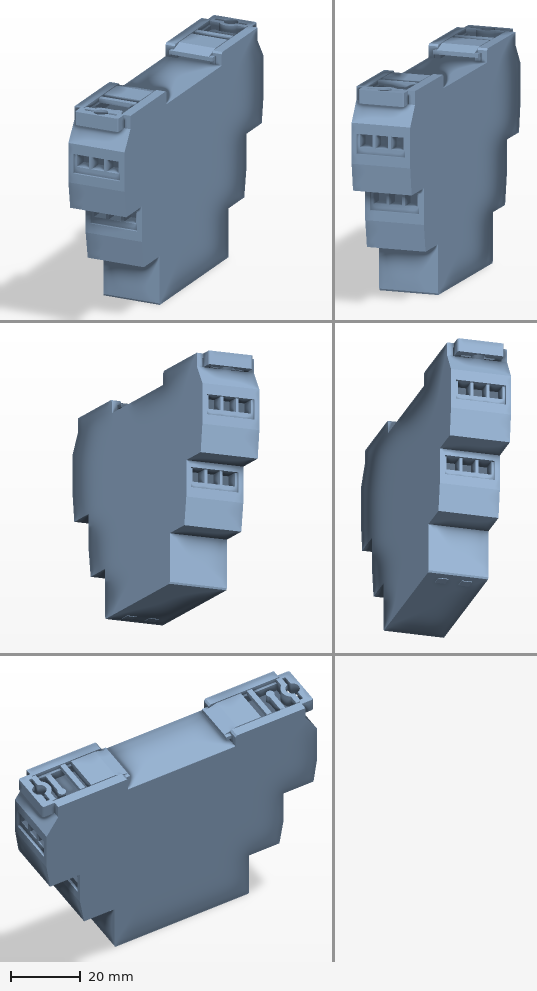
import cadquery as cq

width = 18.0
length = 90.0
height = 64.1
half_length = length / 2

deck_depth = 4.05
rail_inner_end = 17.8
rail_outer_end = 41.1
rail_chamfer = 0.5

shoulder_depth = 9.9
upper_taper_depth = 22.0
upper_tier_depth = 30.15
upper_foot_half = 43.8
lower_half = 33.8
lower_taper_depth = 40.95
lower_tier_depth = 49.1
lower_foot_half = 32.5
base_half = 22.4
base_bevel_height = 0.5
base_bevel_inset = 0.3

window_width = 14.9
window_height = 5.9
window_recess = 0.8
upper_window_depth = 13.05
lower_window_depth = 32.0
terminal_width = 3.9
terminal_height = 4.05
terminal_pitch = 4.8
terminal_count = 3
terminal_depth = 4.5

channel_width = 12.15
undercut_width = 14.5
lip_depth = 1.35

cover_width = 11.5
plate_width = 13.9
plate_bottom_depth = 2.5
tip_depth = 1.3
flap_end = 16.0
flap_slope_start = 20.25
flap_outer_end = 28.3
bar_inner = 30.2
bar_outer = 31.9
opening_width = 10.6
opening_outer_end = 40.0
head_chamfer = 0.4

hole_centre = 42.1
hole_radius = 2.1
boss_radius = 3.5
slit_length = 10.3
slit_width = 1.1

tongue_centre = 36.2
tongue_width = 1.6
tongue_tip_x = -2.6
tongue_tip_radius = 1.3

pad_width = 3.1
pad_length = 3.3
pad_height = 0.2
pad_spacing = 7.0
pad_centre_y = 17.55


def block(size_x, y_start, y_end, top_depth, bottom_depth):
    """Box centred on X = 0, with its top and bottom given as depths below the top of the housing."""
    return (
        cq.Workplane("XY")
        .box(size_x, y_end - y_start, bottom_depth - top_depth, centered=(True, False, False))
        .translate((0, y_start, height - bottom_depth))
    )


def post(x, y, radius, top_depth):
    """Round post standing on the deck, with its top given as a depth below the top of the housing."""
    cylinder = cq.Workplane("XY").circle(radius).extrude(deck_depth - top_depth)
    return cylinder.translate((x, y, height - deck_depth))


def make_housing():
    half_outline = [
        (rail_inner_end, deck_depth),
        (rail_inner_end, rail_chamfer),
        (rail_inner_end + rail_chamfer, 0),
        (rail_outer_end, 0),
        (rail_outer_end, deck_depth),
        (half_length, shoulder_depth),
        (half_length, upper_taper_depth),
        (upper_foot_half, upper_tier_depth),
        (lower_half, upper_tier_depth),
        (lower_half, lower_taper_depth),
        (lower_foot_half, lower_tier_depth),
        (base_half, lower_tier_depth),
        (base_half, height - base_bevel_height),
        (base_half - base_bevel_inset, height),
    ]
    positive_side = [(y, height - depth) for y, depth in half_outline]
    negative_side = [(-y, z) for y, z in reversed(positive_side)]
    outline = cq.Workplane("YZ").polyline(positive_side + negative_side).close()
    return outline.extrude(width / 2, both=True)


def make_channel():
    throat = block(channel_width, rail_inner_end, rail_outer_end, 0, deck_depth)
    undercut = block(undercut_width, rail_inner_end, rail_outer_end, lip_depth, deck_depth)
    return throat.union(undercut)


def make_terminal_window(face_y, top_depth):
    """Shallow recess in an end face with a row of deeper terminal openings at its top."""
    recess_floor = face_y - window_recess
    cutter = block(window_width, recess_floor, face_y, top_depth, top_depth + window_height)
    opening = block(
        terminal_width, recess_floor - terminal_depth, face_y, top_depth, top_depth + terminal_height
    )
    for index in range(terminal_count):
        x = (index - (terminal_count - 1) / 2) * terminal_pitch
        cutter = cutter.union(opening.translate((x, 0, 0)))
    return cutter


def make_flap():
    """Flat panel that slopes down to a thin tip over the deck."""
    profile = [
        (flap_end, plate_bottom_depth),
        (flap_end, tip_depth),
        (flap_slope_start, 0),
        (flap_outer_end, 0),
        (flap_outer_end, plate_bottom_depth),
    ]
    points = [(y, height - depth) for y, depth in profile]
    panel = cq.Workplane("YZ").polyline(points).close().extrude(cover_width / 2, both=True)
    plate = block(plate_width, flap_end, flap_outer_end, lip_depth, plate_bottom_depth)
    return panel.union(plate)


def make_label_holder():
    frame = block(plate_width, rail_inner_end, rail_outer_end, lip_depth, deck_depth)
    frame = frame.cut(block(opening_width, rail_inner_end, opening_outer_end, lip_depth, deck_depth))

    cross_bar = block(cover_width, bar_inner, bar_outer, 0, lip_depth)
    neck = block(cover_width, opening_outer_end, rail_outer_end, 0, deck_depth)
    head = block(plate_width, rail_outer_end, half_length, 0, deck_depth)
    head = head.edges("|Z and >Y").chamfer(head_chamfer)
    boss = post(0, hole_centre, boss_radius, 0).intersect(
        block(cover_width, bar_outer, half_length, 0, deck_depth)
    )

    tongue_length = opening_width / 2 - tongue_tip_x
    tongue = block(
        tongue_length,
        tongue_centre - tongue_width / 2,
        tongue_centre + tongue_width / 2,
        lip_depth,
        deck_depth,
    ).translate((tongue_tip_x + tongue_length / 2, 0, 0))
    tip = post(tongue_tip_x, tongue_centre, tongue_tip_radius, lip_depth)

    holder = make_flap()
    for piece in (frame, cross_bar, neck, head, boss, tongue, tip):
        holder = holder.union(piece)

    slit = block(slit_length, hole_centre - slit_width / 2, hole_centre + slit_width / 2, 0, deck_depth)
    return holder.cut(post(0, hole_centre, hole_radius, 0)).cut(slit)


def make_pad(x):
    pad = cq.Workplane("XY").box(pad_width, pad_length, 2 * pad_height)
    return pad.translate((x, pad_centre_y, 0))


def at_both_ends(shape):
    """The shape and its copy turned half a revolution about Z."""
    return shape, shape.rotate((0, 0, 0), (0, 0, 1), 180)


result = make_housing()

cutters = (
    make_channel(),
    make_terminal_window(half_length, upper_window_depth),
    make_terminal_window(lower_half, lower_window_depth),
)
for cutter in cutters:
    for placed in at_both_ends(cutter):
        result = result.cut(placed)

for holder in at_both_ends(make_label_holder()):
    result = result.union(holder)

for side in (-1, 1):
    result = result.union(make_pad(side * pad_spacing / 2))